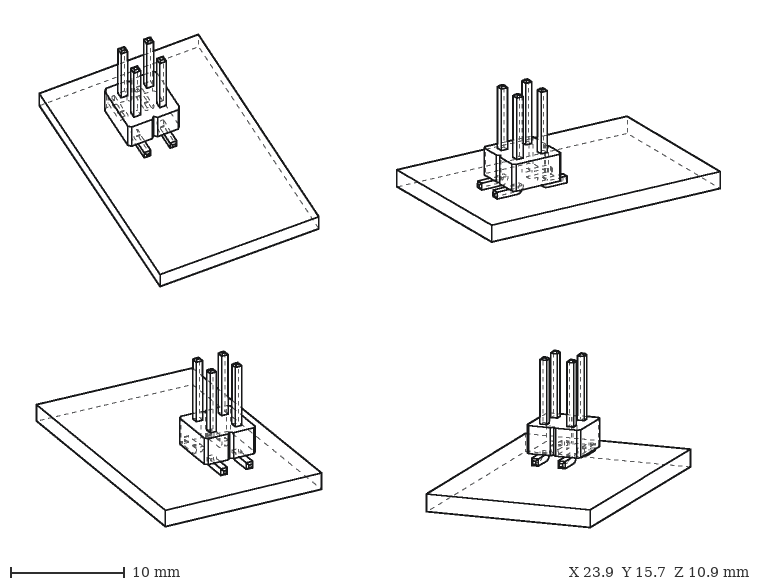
import cadquery as cq

board_length = 23.95
board_width = 15.65
board_thickness = 1.6
side_taper = 0.05
end_slant = 0.12

pitch = 2.55
header_x = 7.3
header_y = 6.5
header_lift = 0.05
pin_width = 0.65
pin_top_z = 10.95
tip_chamfer = 0.17
foot_reach = 3.79

housing_side = 2 * pitch
housing_height = pitch
housing_gap = 0.12
corner_chamfer = 0.26
notch_depth = 0.26

foot_bottom_z = board_thickness + header_lift
foot_top_z = foot_bottom_z + pin_width
housing_bottom_z = foot_top_z + housing_gap


def make_board():
    """Plate with its front left corner at the origin."""
    outline = [
        (0, 0),
        (board_length - end_slant, side_taper),
        (board_length, board_width - side_taper),
        (0, board_width),
    ]
    return cq.Workplane("XY").polyline(outline).close().extrude(board_thickness)


def make_housing():
    """Square block with chamfered corners and a V notch in each side between the pin rows."""
    half = housing_side / 2
    block = (
        cq.Workplane("XY")
        .box(housing_side, housing_side, housing_height, centered=(True, True, False))
        .edges("|Z")
        .chamfer(corner_chamfer)
    )
    for side in (-1, 1):
        notch = (
            cq.Workplane("XY")
            .polyline(
                [
                    (side * half, -notch_depth),
                    (side * (half - notch_depth), 0),
                    (side * half, notch_depth),
                ]
            )
            .close()
            .extrude(housing_height)
        )
        block = block.cut(notch)
    return block.translate((header_x, header_y, housing_bottom_z))


def make_pin():
    """L-shaped square pin about the header centre, with its foot pointing to -X and its middle at Y = 0."""
    outer_x = (pin_width - pitch) / 2
    inner_x = outer_x - pin_width
    pin = (
        cq.Workplane("XZ")
        .moveTo(-foot_reach, foot_bottom_z)
        .lineTo(inner_x, foot_bottom_z)
        .radiusArc((outer_x, foot_top_z), -pin_width)
        .lineTo(outer_x, pin_top_z)
        .lineTo(inner_x, pin_top_z)
        .lineTo(inner_x, foot_top_z)
        .lineTo(-foot_reach, foot_top_z)
        .close()
        .extrude(pin_width / 2, both=True)
    )
    return pin.faces(">Z or <X").chamfer(tip_chamfer)


def make_header():
    """Housing and its four pins as one solid."""
    left_pin = make_pin()
    header = make_housing()
    for pin in (left_pin, left_pin.mirror("YZ")):
        for row in (-1, 1):
            header = header.union(pin.translate((header_x, header_y + row * pitch / 2, 0)))
    return header


board = make_board()
header = make_header()
result = cq.Compound.makeCompound([board.val(), header.val()])